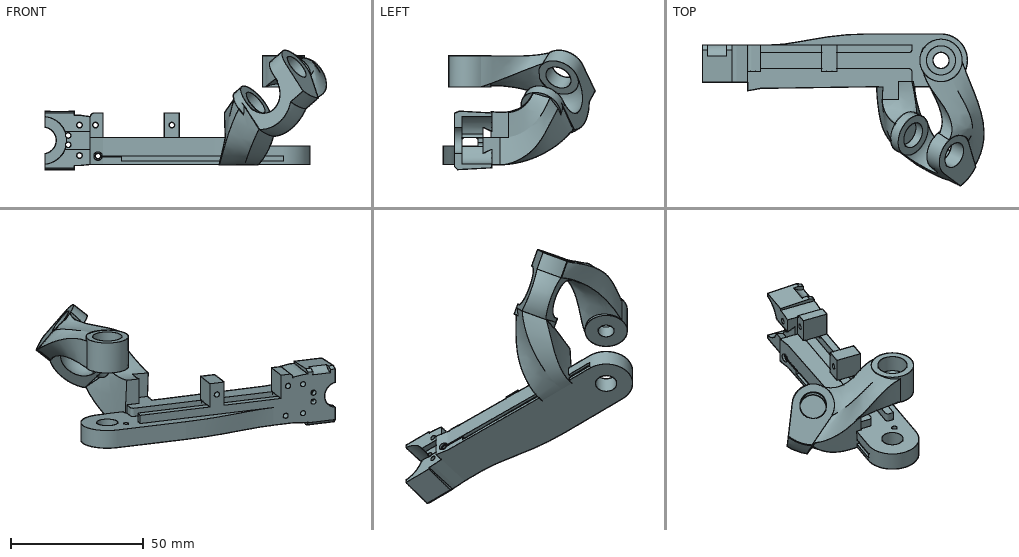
import cadquery as cq
import math


HINGE_RADIUS = 20.0 / 2
PLATE_BORE = 8.0
SPRING_HOLE = 2.0
SPRING_HOLE_DEPTH = 3.0
SPRING_HOLE_PLACE = (-6.1, 3.8)
PLATE_THICKNESS = 7.05
RAIL_TOP = 10.3
BEAM_START_X = -72.9
BEAM_END_X = -11.0
BACK_Y = 5.83
CHANNEL_BACK_Y = 2.9
CHANNEL_FRONT_Y = -3.1
RAIL_CORNER_RADIUS = 1.2
NOSE_FRONT_Y = -11.5
FRONT_Y = -10.6
TAPER_END_X = -26.0
NOSE_END_X = -68.0
FRONT_EDGE = [(TAPER_END_X, -HINGE_RADIUS), (NOSE_END_X, FRONT_Y), (BEAM_START_X, NOSE_FRONT_Y)]
SWELL_START_X = -65.0
SWELL_MIDDLE = (-50.0, 7.7)
SWELL_END_X = -28.0

GROOVE_START_X = -61.0
GROOVE_BOTTOM = 1.3
GROOVE_TOP = 3.2
GROOVE_DEPTH = 1.0
CABLE_HOLE_X = -69.95
CABLE_HOLE_Z = 3.2
CABLE_HOLE_DIAMETER = 2.0
CABLE_RECESS_DIAMETER = 3.2
CABLE_RECESS_FLOOR_Y = -10.2
CABLE_SLIT_BOTTOM = 2.8

POST_TOP = 19.5
POST_FRONT_Y = -4.1
POST_1_WIDTH = 4.9
POST_1_ROUND = 1.6
POST_2_X = -45.05
POST_2_WIDTH = 5.8
POST_2_HOLE_X = -42.1
ARCH_START_X = -84.7
ARCH_TOP = 10.2
ARCH_ROUND = 1.0

PIN_DIAMETER = 2.0
PIN_UPPER_Z = 14.9
PIN_LOWER_Z = 3.4
HOUSING_PIN_X = -76.95
POST_1_PIN_X = -70.9
KEY_PIN_X = -81.2
KEY_PIN_HEIGHTS = (7.45, 11.0)

HOUSING_END_X = -90.0
HOUSING_STEP_X = -78.85
HOUSING_FRONT_Y = -8.33
HOUSING_TOP = 20.2
HOUSING_BOTTOM = -1.95
HOUSING_DRAFT = 0.7
HOUSING_CHAMFER = 1.3
TOP_CHAMFER_WIDTH = 2.0
TOP_CHAMFER_DROP = 0.8
HOUSING_MID_Z = (HOUSING_TOP + HOUSING_BOTTOM) / 2
BORE_CENTER_X = -90.75
BORE_DIAMETER = 18.0
BORE_WINDOW_DIAMETER = 10.0
BACK_WALL_Y = 2.95
NECK_BEND_X = -77.0
NECK_TOP = 18.7
NECK_TOP_END = 18.1
NECK_BOTTOM = -0.4
DOVETAIL_FLOOR_Y = -5.1
DOVETAIL_MOUTH = 6.7
DOVETAIL_FLOOR_WIDTH = 9.7
SCOOP_START_X = -88.05
SCOOP_END_X = -80.9
SCOOP_RADIUS = 11.0 / 2
SCOOP_EDGE_Y = 1.7
SCOOP_EDGE_Z = 20.0

YOKE_ORIGIN = cq.Vector(5.0, -35.7, 36.9)
YOKE_AXIS = cq.Vector(0.709, -0.341, 0.618).normalized()
YOKE_ACROSS = YOKE_AXIS.cross(cq.Vector(0.507, -0.378, -0.776)).normalized()
YOKE_DOWN = YOKE_ACROSS.cross(YOKE_AXIS)
RING_RADIUS = 16.0 / 2
RING_BORE = 10.0
RING_BORE_OVERRUN = 3.0
UPPER_RING_WIDTH = 6.6
LOWER_RING_FACE = -21.9
LOWER_RING_WIDTH = 4.0
LOWER_RING_BORE_DEPTH = 3.5
WEB_END = -23.4
YOKE_END_RADIUS = 15.0
YOKE_MID_RADIUS = 17.8
GAP_DEPTH_RADIUS = 13.1
YOKE_SHOULDER = (3.1, 7.5)
YOKE_FLANK = (20.0, -1.3)
WEB_HEEL = (14.3, 1.7)
SKIN_INSET = 0.1

BOSS_RADIUS = 16.0 / 2
BOSS_BOTTOM = 29.2
BOSS_TOP = 41.1
BOSS_BORE = 6.0
BOSS_SEAT = 11.0
BOSS_SEAT_DEPTH = 6.5

NOTCH_END_X = -16.0
NOTCH_FRONT_Y = -14.7
ARM_ROOT_Y = -8.0


def block(x0, x1, y0, y1, z0, z1):
    """Axis-aligned box between opposite corners."""
    return cq.Workplane("XY").box(x1 - x0, y1 - y0, z1 - z0, centered=False).translate((x0, y0, z0))


def cylinder_y(x, z, diameter, y_front, y_back):
    """Cylinder along Y between two Y positions."""
    start = cq.Vector(x, y_front, z)
    return cq.Workplane(cq.Solid.makeCylinder(diameter / 2, y_back - y_front, start, cq.Vector(0, 1, 0)))


def base_plate():
    """Flat plate with a swelling back edge and a round hinge end."""
    return (
        cq.Workplane("XY")
        .moveTo(BEAM_START_X, BACK_Y)
        .lineTo(SWELL_START_X, BACK_Y)
        .spline([SWELL_MIDDLE, (SWELL_END_X, HINGE_RADIUS)], tangents=[(1, 0), (1, 0)], includeCurrent=True)
        .lineTo(0, HINGE_RADIUS)
        .threePointArc((HINGE_RADIUS, 0), (0, -HINGE_RADIUS))
        .polyline(FRONT_EDGE, includeCurrent=True)
        .close()
        .extrude(PLATE_THICKNESS)
    )


def rails():
    """Back and front rails standing on the plate on either side of the channel."""
    back = block(BEAM_START_X, BEAM_END_X, CHANNEL_BACK_Y, BACK_Y, 0, RAIL_TOP)
    back = back.edges("|Z and >X and <Y").fillet(RAIL_CORNER_RADIUS)
    front = (
        cq.Workplane("XY")
        .moveTo(BEAM_START_X, CHANNEL_FRONT_Y)
        .lineTo(BEAM_END_X, CHANNEL_FRONT_Y)
        .lineTo(BEAM_END_X, -HINGE_RADIUS)
        .polyline(FRONT_EDGE, includeCurrent=True)
        .close()
        .extrude(RAIL_TOP)
        .edges("|Z and >X and >Y")
        .fillet(RAIL_CORNER_RADIUS)
    )
    return back.union(front)


def posts():
    """Two posts bridging the channel; the first has a rounded top edge."""
    first = block(BEAM_START_X, BEAM_START_X + POST_1_WIDTH, POST_FRONT_Y, BACK_Y, 0, POST_TOP)
    first = first.edges("|Y and <X and >Z").fillet(POST_1_ROUND)
    second = block(POST_2_X, POST_2_X + POST_2_WIDTH, POST_FRONT_Y, BACK_Y, 0, POST_TOP)
    return first.union(second)


def arch_cut():
    """Round-topped passage along the channel, under the posts and into the housing."""
    passage = block(ARCH_START_X, POST_2_X + POST_2_WIDTH, CHANNEL_FRONT_Y, CHANNEL_BACK_Y,
                    PLATE_THICKNESS, ARCH_TOP)
    return passage.edges("|X and >Z").fillet(ARCH_ROUND)


def housing_body():
    """Drafted, chamfered housing and the lower neck that joins it to the beam."""
    c = HOUSING_CHAMFER
    body = (
        cq.Workplane("YZ", origin=(HOUSING_END_X, 0, 0))
        .polyline([
            (HOUSING_FRONT_Y, HOUSING_BOTTOM + HOUSING_DRAFT),
            (BACK_Y - c, HOUSING_BOTTOM),
            (BACK_Y, HOUSING_BOTTOM + c),
            (BACK_Y, HOUSING_TOP - TOP_CHAMFER_DROP),
            (BACK_Y - TOP_CHAMFER_WIDTH, HOUSING_TOP),
            (HOUSING_FRONT_Y, HOUSING_TOP - HOUSING_DRAFT),
        ])
        .close()
        .extrude(HOUSING_STEP_X - HOUSING_END_X)
    )
    neck = (
        cq.Workplane("XZ", origin=(0, HOUSING_FRONT_Y, 0))
        .polyline([
            (HOUSING_STEP_X, NECK_BOTTOM),
            (NECK_BEND_X, NECK_BOTTOM),
            (BEAM_START_X, 0),
            (BEAM_START_X, NECK_TOP_END),
            (NECK_BEND_X, NECK_TOP),
            (HOUSING_STEP_X, NECK_TOP),
        ])
        .close()
        .extrude(HOUSING_FRONT_Y - BACK_Y)
    )
    return body.union(neck)


def housing_cuts():
    """Stepped half-round bore, dovetail slot and scoop of the housing."""
    bore = cylinder_y(BORE_CENTER_X, HOUSING_MID_Z, BORE_DIAMETER, HOUSING_FRONT_Y - 1, BACK_WALL_Y)
    window = cylinder_y(BORE_CENTER_X, HOUSING_MID_Z, BORE_WINDOW_DIAMETER, BACK_WALL_Y - 1, BACK_Y + 1)
    dovetail = (
        cq.Workplane("YZ", origin=(BORE_CENTER_X, 0, 0))
        .polyline([
            (HOUSING_FRONT_Y, HOUSING_MID_Z - DOVETAIL_MOUTH / 2),
            (DOVETAIL_FLOOR_Y, HOUSING_MID_Z - DOVETAIL_FLOOR_WIDTH / 2),
            (DOVETAIL_FLOOR_Y, HOUSING_MID_Z + DOVETAIL_FLOOR_WIDTH / 2),
            (HOUSING_FRONT_Y, HOUSING_MID_Z + DOVETAIL_MOUTH / 2),
        ])
        .close()
        .extrude(BEAM_START_X - BORE_CENTER_X)
    )
    scoop_z = SCOOP_EDGE_Z + math.sqrt(SCOOP_RADIUS**2 - (BACK_Y - SCOOP_EDGE_Y)**2)
    scoop = (
        cq.Workplane("YZ", origin=(SCOOP_START_X, 0, 0))
        .center(BACK_Y, scoop_z)
        .circle(SCOOP_RADIUS)
        .extrude(SCOOP_END_X - SCOOP_START_X)
    )
    return bore.union(window).union(dovetail).union(scoop)


def pin_holes():
    """Pin holes along Y through the housing and the posts."""
    places = [(HOUSING_PIN_X, PIN_UPPER_Z), (HOUSING_PIN_X, PIN_LOWER_Z)]
    places += [(POST_1_PIN_X, PIN_UPPER_Z), (POST_2_HOLE_X, PIN_UPPER_Z)]
    places += [(KEY_PIN_X, z) for z in KEY_PIN_HEIGHTS]
    holes = cq.Workplane("XY")
    for x, z in places:
        holes = holes.add(cylinder_y(x, z, PIN_DIAMETER, HOUSING_FRONT_Y - 1, BACK_Y + 1))
    return holes.combine()


def front_cuts():
    """Cable hole with its recess and the long groove in the front face."""
    groove = block(GROOVE_START_X, 0, NOSE_FRONT_Y, -HINGE_RADIUS + GROOVE_DEPTH, GROOVE_BOTTOM, GROOVE_TOP)
    hole = cylinder_y(CABLE_HOLE_X, CABLE_HOLE_Z, CABLE_HOLE_DIAMETER, NOSE_FRONT_Y - 1, BACK_Y + 1)
    recess = cylinder_y(CABLE_HOLE_X, CABLE_HOLE_Z, CABLE_RECESS_DIAMETER,
                        NOSE_FRONT_Y - 1, CABLE_RECESS_FLOOR_Y)
    slit = block(NOSE_END_X, GROOVE_START_X, NOSE_FRONT_Y, -HINGE_RADIUS, CABLE_SLIT_BOTTOM, GROOVE_TOP)
    return groove.union(hole).union(recess).union(slit)


def yoke_point(along, down, across):
    """Global position of a point given in yoke axes."""
    return (YOKE_ORIGIN + YOKE_AXIS * along + YOKE_DOWN * down + YOKE_ACROSS * across).toTuple()


def ring_plane(along):
    """Plane across the yoke axis: local x points down the legs, local y across."""
    center = yoke_point(along, 0, 0)
    return cq.Workplane(cq.Plane(center, xDir=YOKE_DOWN.toTuple(), normal=YOKE_AXIS.toTuple()))


def web():
    """U-shaped web: a profile turned about the yoke axis, kept only within its flanks."""
    lower_back = LOWER_RING_FACE - LOWER_RING_WIDTH
    gap_middle = (LOWER_RING_FACE - UPPER_RING_WIDTH) / 2
    profile_plane = cq.Plane(yoke_point(0, 0, 0), xDir=YOKE_AXIS.toTuple(), normal=YOKE_ACROSS.toTuple())
    turned = (
        cq.Workplane(profile_plane)
        .lineTo(0, YOKE_END_RADIUS)
        .lineTo(-UPPER_RING_WIDTH, YOKE_END_RADIUS)
        .threePointArc((gap_middle, YOKE_MID_RADIUS), (WEB_END, YOKE_END_RADIUS))
        .lineTo(WEB_END, 0)
        .lineTo(LOWER_RING_FACE, 0)
        .lineTo(LOWER_RING_FACE, RING_RADIUS)
        .threePointArc((gap_middle, GAP_DEPTH_RADIUS), (-UPPER_RING_WIDTH, RING_RADIUS))
        .lineTo(-UPPER_RING_WIDTH, 0)
        .close()
        .revolve(360, (0, 0), (1, 0))
    )
    flanks = (
        ring_plane(lower_back)
        .polyline([(0, -RING_RADIUS), (YOKE_FLANK[0], -RING_RADIUS), YOKE_FLANK, YOKE_SHOULDER, (0, 0)])
        .close()
        .extrude(-lower_back)
    )
    return turned.intersect(flanks)


def yoke():
    """Upper ring and lower ring joined by the web."""
    upper = ring_plane(-UPPER_RING_WIDTH).circle(RING_RADIUS).extrude(UPPER_RING_WIDTH)
    lower = ring_plane(LOWER_RING_FACE - LOWER_RING_WIDTH).circle(RING_RADIUS).extrude(LOWER_RING_WIDTH)
    return upper.union(lower).union(web())


def ring_bores():
    """Through bore of the upper ring and blind bore of the lower ring."""
    upper = ring_plane(-UPPER_RING_WIDTH - RING_BORE_OVERRUN)
    upper = upper.circle(RING_BORE / 2).extrude(UPPER_RING_WIDTH + 2 * RING_BORE_OVERRUN)
    lower = ring_plane(LOWER_RING_FACE - LOWER_RING_BORE_DEPTH).circle(RING_BORE / 2)
    return upper.union(lower.extrude(LOWER_RING_BORE_DEPTH + 1))


def skinned_arm(rail_points):
    """Solid skinned between spline rails; each end is closed by a fan of triangles."""
    curves = [cq.Edge.makeSpline([cq.Vector(p) for p in points]) for points in rail_points]
    count = len(curves)
    faces = [cq.Face.makeRuledSurface(curves[i], curves[(i + 1) % count]) for i in range(count)]
    for end in (0, -1):
        corners = [cq.Vector(points[end]) for points in rail_points]
        for i in range(1, count - 1):
            triangle = cq.Wire.makePolygon([corners[0], corners[i], corners[i + 1]], close=True)
            faces.append(cq.Face.makeFromWires(triangle))
    return cq.Workplane(cq.Solid.makeSolid(cq.Shell.makeShell(faces)).fix())


def lower_arm():
    """Arm rising from the front of the base to the lower ring."""
    end = LOWER_RING_FACE - LOWER_RING_WIDTH + 0.5
    rim = RING_RADIUS - SKIN_INSET
    top_left = [(-22.2, ARM_ROOT_Y, 20.0), (-21.8, -17.5, 20.3), yoke_point(end, -rim, 0)]
    mid_left = [(-21.8, ARM_ROOT_Y, RAIL_TOP), (-22.0, -15, RAIL_TOP), yoke_point(end, -5.0, -6.1)]
    low_left = [(-24.4, ARM_ROOT_Y, 0), (-24.1, -14, 0.2), (-22.5, -24, 5.8), (-20.3, -29, 13.0),
                yoke_point(WEB_END, 0, -rim)]
    low_front = [(-15.0, ARM_ROOT_Y, 0), (-14.7, -15, 0.1), (-12.5, -31, 6.0),
                 yoke_point(WEB_END + SKIN_INSET, 12.5, -rim)]
    low_right = [(-10.0, ARM_ROOT_Y, 0), (-9.2, -15, 0.3), (-6.0, -25, 5.0), yoke_point(WEB_END, *WEB_HEEL)]
    top_right = [(-11.0, ARM_ROOT_Y, 20.0), (-9.7, -15, 19.8), yoke_point(end, 0, rim)]
    return skinned_arm([top_left, mid_left, low_left, low_front, low_right, top_right])


def upper_arm():
    """Twisted arm from the upper hinge boss to the upper ring."""
    inner = -UPPER_RING_WIDTH
    rim = RING_RADIUS - SKIN_INSET
    top = BOSS_TOP - SKIN_INSET
    bottom = BOSS_BOTTOM + SKIN_INSET
    top_left = [(-6.75, -4.25, top), (-4.2, -10, top), (2.0, -19, top), (4.0, -24.5, 41.3),
                yoke_point(-SKIN_INSET, -rim, 0)]
    low_left = [(-6.75, -4.25, bottom), (-0.6, -18, 34.5), (0.2, -25, 37.2), yoke_point(inner, -rim, 0)]
    low_right = [(8.0, -0.5, bottom), (10.0, -18, 28.9), yoke_point(inner, *WEB_HEEL)]
    outer = [(8.0, -0.5, 40.0), (12.7, -12.5, 37.8), (16.22, -26, 31.0), yoke_point(-SKIN_INSET, *WEB_HEEL)]
    ridge = [(3.5, -6.0, top), (9.8, -18, 39.7), (11.8, -24.5, 37.6), yoke_point(-SKIN_INSET, *YOKE_SHOULDER)]
    ring_front = ring_plane(0).circle(RING_RADIUS).extrude(RING_RADIUS)
    return skinned_arm([top_left, low_left, low_right, outer, ridge]).cut(ring_front)


def hinge_boss():
    """Upper hinge boss, coaxial with the lower hinge bore."""
    return cq.Workplane("XY", origin=(0, 0, BOSS_BOTTOM)).circle(BOSS_RADIUS).extrude(BOSS_TOP - BOSS_BOTTOM)


def hinge_bores():
    """Stepped bore of the upper boss, bore of the plate, and a small spring hole beside it."""
    through = cq.Workplane("XY").circle(BOSS_BORE / 2).extrude(BOSS_TOP)
    wide = cq.Workplane("XY", origin=(0, 0, BOSS_TOP - BOSS_SEAT_DEPTH)).circle(BOSS_SEAT / 2)
    plate_bore = cq.Workplane("XY").circle(PLATE_BORE / 2).extrude(PLATE_THICKNESS)
    spring = cq.Workplane("XY", origin=(*SPRING_HOLE_PLACE, PLATE_THICKNESS - SPRING_HOLE_DEPTH))
    spring = spring.circle(SPRING_HOLE / 2).extrude(SPRING_HOLE_DEPTH)
    return through.union(wide.extrude(BOSS_SEAT_DEPTH)).union(plate_bore).union(spring)


base = base_plate().union(rails()).union(posts()).union(housing_body())
base = base.cut(arch_cut()).cut(housing_cuts()).cut(pin_holes()).cut(front_cuts())

notch = block(TAPER_END_X, NOTCH_END_X, NOTCH_FRONT_Y, 0, RAIL_TOP, BOSS_BOTTOM)
arms = lower_arm().cut(notch).union(yoke()).union(upper_arm()).union(hinge_boss())

result = base.union(arms).cut(ring_bores()).cut(hinge_bores())